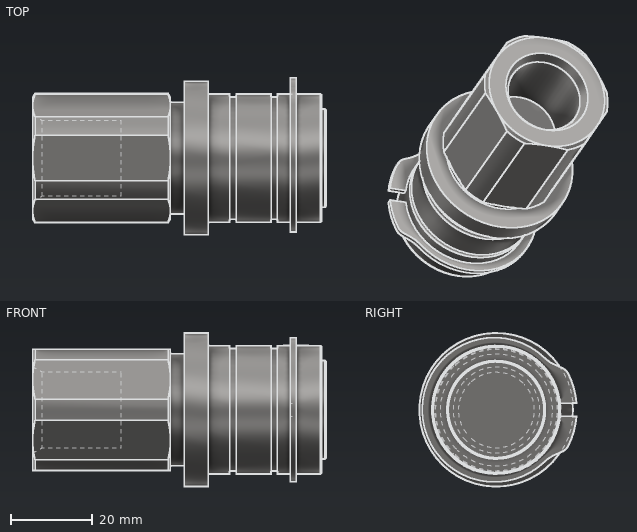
import cadquery as cq
import math

total_length = 72.5
hex_length = 34.0
flange_start = 37.4
flange_end = 43.35
ring_start = 63.6
ring_end = 65.1
body_end = 71.4

hex_across_flats = 30.0
hex_corner_radius = 16.0
hex_chamfer_angle = 30.0

neck_radius = 13.85
flange_radius = 19.0
body_radius = 15.9
body_chamfer = 0.35
root_fillet = 0.2
nose_radius = 12.2
nose_chamfer = 0.35

seal_grooves = [(48.65, 50.25), (58.9, 60.4)]
groove_floor_radius = 15.15

ring_radius = 17.8
ring_offset = -0.4
lug_radius = 19.95
lug_flank_angle = 22.5
lug_half_width = 17.1
lug_corner_fillet = 3.2
lug_root_fillet = 8.7
ring_gap = 3.25
corner_root_split = 15.6

bore_radius = 9.35
bore_depth = 21.75
bore_mouth_radius = 10.65
bore_mouth_angle = 30.0


def revolve_profile(points):
    """Solid of revolution about the X axis from (x, radius) points that start and end on the axis."""
    return cq.Workplane("XY").polyline(points).close().revolve(360, (0, 0, 0), (1, 0, 0))


def disc(start, end, radius, y_center=0.0):
    """Cylinder along X between two stations."""
    return cq.Workplane("YZ", origin=(start, y_center, 0)).circle(radius).extrude(end - start)


def make_hex_section():
    """Hexagonal prism with rounded corners and chamfers at both ends."""
    across_corners = hex_across_flats / math.cos(math.radians(30))
    prism = cq.Workplane("YZ").polygon(6, across_corners).extrude(hex_length)
    end_radius = hex_across_flats / 2
    chamfer_length = (hex_corner_radius - end_radius) * math.tan(math.radians(hex_chamfer_angle))
    envelope = revolve_profile([
        (0, 0),
        (0, end_radius),
        (chamfer_length, hex_corner_radius),
        (hex_length - chamfer_length, hex_corner_radius),
        (hex_length, end_radius),
        (hex_length, 0),
    ])
    return prism.intersect(envelope)


def make_turned_section():
    """Neck, flange, grooved body and nose as one turned profile with small root fillets."""
    profile = (
        cq.Workplane("XY")
        .moveTo(hex_length, 0)
        .lineTo(hex_length, neck_radius + root_fillet)
        .radiusArc((hex_length + root_fillet, neck_radius), -root_fillet)
        .lineTo(flange_start, neck_radius)
        .lineTo(flange_start, flange_radius)
        .lineTo(flange_end, flange_radius)
        .lineTo(flange_end, body_radius + root_fillet)
        .radiusArc((flange_end + root_fillet, body_radius), -root_fillet)
    )
    for groove_start, groove_end in seal_grooves:
        profile = (
            profile
            .lineTo(groove_start, body_radius)
            .lineTo(groove_start, groove_floor_radius + root_fillet)
            .radiusArc((groove_start + root_fillet, groove_floor_radius), -root_fillet)
            .lineTo(groove_end - root_fillet, groove_floor_radius)
            .radiusArc((groove_end, groove_floor_radius + root_fillet), -root_fillet)
            .lineTo(groove_end, body_radius)
        )
    profile = (
        profile
        .lineTo(body_end - body_chamfer, body_radius)
        .lineTo(body_end, body_radius - body_chamfer)
        .lineTo(body_end, nose_radius)
        .lineTo(total_length - nose_chamfer, nose_radius)
        .lineTo(total_length, nose_radius - nose_chamfer)
        .lineTo(total_length, 0)
        .close()
    )
    return profile.revolve(360, (0, 0, 0), (1, 0, 0))


def fillet_axial_edges(solid, radius, y_low, y_high, z_low):
    """Fillet the mirrored pair of X-parallel edges whose Y lies in a band and |Z| is above z_low."""
    for side in (1, -1):
        band = cq.selectors.BoxSelector(
            (ring_start, y_low, side * z_low),
            (ring_end, y_high, side * lug_radius),
        )
        solid = solid.edges("|X").edges(band).fillet(radius)
    return solid


def make_snap_ring():
    """Eccentric ring whose lugs bulge outward beside the gap at +Y."""
    thickness = ring_end - ring_start
    wedge_tip = lug_half_width / math.tan(math.radians(lug_flank_angle))
    wedge = (
        cq.Workplane("YZ", origin=(ring_start, 0, 0))
        .polyline([(wedge_tip, 0), (0, lug_half_width), (0, -lug_half_width)])
        .close()
        .extrude(thickness)
    )
    lugs = disc(ring_start, ring_end, lug_radius).intersect(wedge)
    ring = disc(ring_start, ring_end, ring_radius, ring_offset).union(lugs)

    ring = fillet_axial_edges(ring, lug_corner_fillet, corner_root_split, lug_radius, ring_gap)
    ring = fillet_axial_edges(ring, lug_root_fillet, 0, corner_root_split, ring_gap)

    gap = cq.Workplane("XY").box(
        thickness, lug_radius, ring_gap, centered=(False, False, True)
    ).translate((ring_start, 0, 0))
    return ring.cut(gap)


def make_bore():
    """Blind bore with a conical mouth."""
    mouth_depth = (bore_mouth_radius - bore_radius) / math.tan(math.radians(bore_mouth_angle))
    return revolve_profile([
        (0, 0),
        (0, bore_mouth_radius),
        (mouth_depth, bore_radius),
        (bore_depth, bore_radius),
        (bore_depth, 0),
    ])


result = (
    make_hex_section()
    .union(make_turned_section())
    .union(make_snap_ring())
    .cut(make_bore())
)